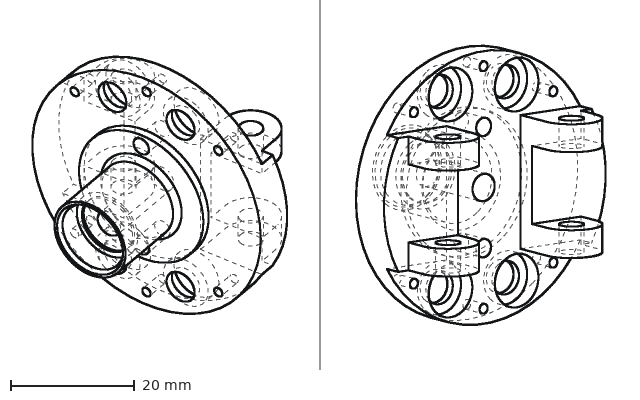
import cadquery as cq
import math

flange_diameter = 45.0
flange_thickness = 4.5

pad_rear = 7.5
pad_height = 22.05

lug_spacing = 25.0
lug_radius = 5.0
lug_thickness = 4.6
lug_hole_y = 11.5
lug_hole_diameter = 4.05

overall_depth = 32.5
collar_diameter = 24.5
collar_thickness = 1.5
cone_diameter = 15.95
cone_length = 1.05
tube_diameter = 14.0

mouth_diameter = 12.95
mouth_chamfer_length = 0.85
bore_diameter = 12.0
bore_depth = 4.9
recess_diameter = 10.0
recess_depth = 0.5
center_hole_diameter = 4.5

small_hole_diameter = 1.6
small_hole_circle_radius = 20.0
small_hole_angles = (45, 90, 135, 225, 270, 315)
large_hole_diameter = 5.5
large_hole_x = 6.7
large_hole_z = 16.15
counterbore_diameter = 8.8
counterbore_floor_y = 1.5
collar_hole_diameter = 3.0
collar_hole_z = 10.0

flange_radius = flange_diameter / 2
lug_rear = lug_hole_y + lug_radius
lug_x = lug_spacing / 2
pad_inner_x = lug_x - lug_radius
collar_front = -collar_thickness
cone_front = collar_front - cone_length
mouth_y = lug_rear - overall_depth


def cylinder_y(diameter, y_start, y_end):
    """Cylinder on the Y axis between two Y positions."""
    return cq.Workplane("XZ", origin=(0, y_start, 0)).circle(diameter / 2).extrude(y_start - y_end)


def make_body():
    """Flange, collar, cone and tube revolved about the Y axis."""
    profile = [
        (0, flange_thickness),
        (flange_radius, flange_thickness),
        (flange_radius, 0),
        (collar_diameter / 2, 0),
        (collar_diameter / 2, collar_front),
        (cone_diameter / 2, collar_front),
        (tube_diameter / 2, cone_front),
        (tube_diameter / 2, mouth_y),
        (0, mouth_y),
    ]
    return cq.Workplane("XY").polyline(profile).close().revolve(360, (0, 0, 0), (0, 1, 0))


def make_bore():
    """Chamfered bore, shallow recess and center hole as one revolved cutter."""
    chamfer_end = mouth_y + mouth_chamfer_length
    bore_end = mouth_y + bore_depth
    recess_end = bore_end + recess_depth
    profile = [
        (0, mouth_y),
        (mouth_diameter / 2, mouth_y),
        (bore_diameter / 2, chamfer_end),
        (bore_diameter / 2, bore_end),
        (recess_diameter / 2, bore_end),
        (recess_diameter / 2, recess_end),
        (center_hole_diameter / 2, recess_end),
        (center_hole_diameter / 2, flange_thickness),
        (0, flange_thickness),
    ]
    return cq.Workplane("XY").polyline(profile).close().revolve(360, (0, 0, 0), (0, 1, 0))


def make_pads():
    """Two flat-ended segments of the flange circle, leaving an open channel between them."""
    pad_depth = pad_rear - flange_thickness
    pad_middle_y = flange_thickness + pad_depth / 2
    band = cq.Workplane("XY").box(flange_diameter, pad_depth, pad_height)
    channel = cq.Workplane("XY").box(2 * pad_inner_x, pad_depth, pad_height)
    segments = band.cut(channel).translate((0, pad_middle_y, 0))
    return segments.intersect(cylinder_y(flange_diameter, flange_thickness, pad_rear))


def make_lug(side, level):
    """Round-ended lug, flush with the pad end; side and level are -1 or +1."""
    center_x = side * lug_x
    bottom_z = pad_height / 2 - lug_thickness if level > 0 else -pad_height / 2
    lug = (
        cq.Workplane("XY", origin=(0, 0, bottom_z))
        .moveTo(center_x - lug_radius, flange_thickness)
        .lineTo(center_x - lug_radius, lug_hole_y)
        .threePointArc((center_x, lug_rear), (center_x + lug_radius, lug_hole_y))
        .lineTo(center_x + lug_radius, flange_thickness)
        .close()
        .extrude(lug_thickness)
    )
    hole = (
        cq.Workplane("XY", origin=(center_x, lug_hole_y, bottom_z))
        .circle(lug_hole_diameter / 2)
        .extrude(lug_thickness)
    )
    return lug.cut(hole)


def drill(body, points, diameter, front_y):
    """Drill holes at the given (x, z) points from the rear face of the flange forward to front_y."""
    holes = (
        cq.Workplane("XZ", origin=(0, flange_thickness, 0))
        .pushPoints(points)
        .circle(diameter / 2)
        .extrude(flange_thickness - front_y)
    )
    return body.cut(holes)


result = make_body().cut(make_bore())

small_hole_points = [
    (
        small_hole_circle_radius * math.cos(math.radians(angle)),
        small_hole_circle_radius * math.sin(math.radians(angle)),
    )
    for angle in small_hole_angles
]
large_hole_points = [(x, z) for x in (-large_hole_x, large_hole_x) for z in (-large_hole_z, large_hole_z)]
collar_hole_points = [(0, -collar_hole_z), (0, collar_hole_z)]

result = drill(result, small_hole_points, small_hole_diameter, 0)
result = drill(result, large_hole_points, large_hole_diameter, 0)
result = drill(result, large_hole_points, counterbore_diameter, counterbore_floor_y)
result = drill(result, collar_hole_points, collar_hole_diameter, collar_front)

result = result.union(make_pads())
for side in (-1, 1):
    for level in (-1, 1):
        result = result.union(make_lug(side, level))